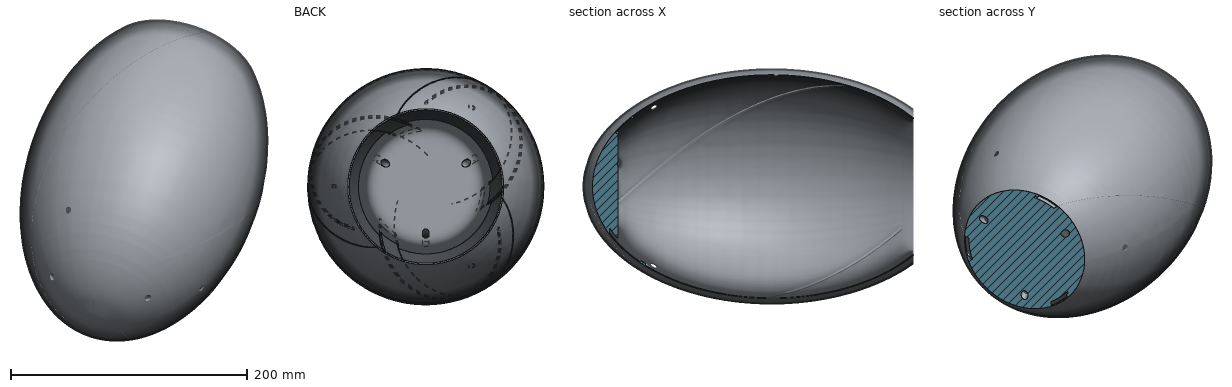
import math

import cadquery as cq

length = 280.0
max_radius = 100.0
nose_reach = 160.0
open_end_y = length - nose_reach
wall = 1.0
nose_floor_y = -130.0

repeats = 3
pitch_angle = 360 / repeats

seam_path = [
    (-154, 93),
    (-148.5, 75.5),
    (-137.2, 59.8),
    (-112, 41.8),
    (-56, 18.8),
    (0, 0.2),
    (56, -19.3),
    (111.0, -45.4),
    (121.8, -52.2),
]
seam_width = 0.3
seam_depth = 0.5
seam_overshoot = 0.8

rib_path = seam_path[2:-1]
rib_offset = 19.3
rib_width = 2.5
rib_height = 1.0
rib_bottom_depth = wall + rib_height
rib_root_depth = wall / 2

notch_start_y = rib_path[0][0]
notch_depth = 2.0
notch_path = seam_path[1:4]
notch_band_depth = 6.0

hole_diameter = 6.0
hole_depth = 16.8
hole_clearance = 2.8
nose_ring_radius = 48.5
nose_ring_angle = 30
side_ring_radius = 78.0
side_ring_angle = 0


def surface_radius(y):
    return max_radius * math.sqrt(1 - (y / nose_reach) ** 2)


def surface_frame(y, angle):
    """Point on the outer surface, and the unit vectors around the axis and out of the surface."""
    cos_a = math.cos(math.radians(angle))
    sin_a = math.sin(math.radians(angle))
    radius = surface_radius(y)
    point = cq.Vector(radius * cos_a, y, radius * sin_a)
    around = cq.Vector(-sin_a, 0, cos_a)
    slope = radius / max_radius**2
    outward = cq.Vector(slope * cos_a, y / nose_reach**2, slope * sin_a).normalized()
    return point, around, outward


def ellipsoid(inset, start_y, end_y):
    """The egg's ellipsoid shrunk by `inset`, kept from start_y to end_y."""
    radius = max_radius - inset
    reach = nose_reach - inset
    whole = (
        cq.Workplane("XY")
        .moveTo(0, -reach)
        .ellipseArc(radius, reach, -90, 90, startAtCurrent=True)
        .close()
        .revolve(360, (0, 0, 0), (0, 1, 0))
    )
    slab = cq.Workplane("XY").box(2 * max_radius, end_y - start_y, 2 * max_radius)
    return whole.intersect(slab.translate((0, (start_y + end_y) / 2, 0)))


def spiral_strip(path, offset, width, bottom_depth, top_depth):
    """Strip along a spiral path, shifted around the axis by `offset`; depths are below the skin."""
    sections = []
    for y, path_angle in path:
        angle = path_angle + math.degrees(offset / surface_radius(y))
        point, around, outward = surface_frame(y, angle)
        side = around * (width / 2)
        bottom = point - outward * bottom_depth
        top = point - outward * top_depth
        corners = [bottom - side, bottom + side, top + side, top - side]
        sections.append(cq.Wire.makePolygon(corners, close=True))
    return cq.Workplane(cq.Solid.makeLoft(sections))


def nose_notch():
    band = spiral_strip(notch_path, rib_offset / 2, rib_offset, notch_band_depth, 0)
    under_skin = ellipsoid(wall, notch_start_y, nose_floor_y)
    core = ellipsoid(wall + notch_depth, notch_start_y, nose_floor_y)
    return under_skin.cut(core).intersect(band)


def surface_hole(ring_radius, angle):
    y = -nose_reach * math.sqrt(1 - (ring_radius / max_radius) ** 2)
    point, _, outward = surface_frame(y, angle)
    start = point + outward * hole_clearance
    drill_length = hole_clearance + hole_depth
    return cq.Workplane(cq.Solid.makeCylinder(hole_diameter / 2, drill_length, start, outward * -1))


def cut_around(body, cutter):
    for i in range(repeats):
        body = body.cut(cutter.rotate((0, 0, 0), (0, 1, 0), i * pitch_angle))
    return body


def add_around(body, feature):
    for i in range(repeats):
        body = body.union(feature.rotate((0, 0, 0), (0, 1, 0), i * pitch_angle))
    return body


result = ellipsoid(0, -nose_reach, open_end_y).cut(ellipsoid(wall, nose_floor_y, open_end_y))

result = cut_around(result, nose_notch())
rib = spiral_strip(rib_path, rib_offset, rib_width, rib_bottom_depth, rib_root_depth)
result = add_around(result, rib)

result = cut_around(result, spiral_strip(seam_path, 0, seam_width, seam_depth, -seam_overshoot))

result = cut_around(result, surface_hole(nose_ring_radius, nose_ring_angle))
result = cut_around(result, surface_hole(side_ring_radius, side_ring_angle)).solids()